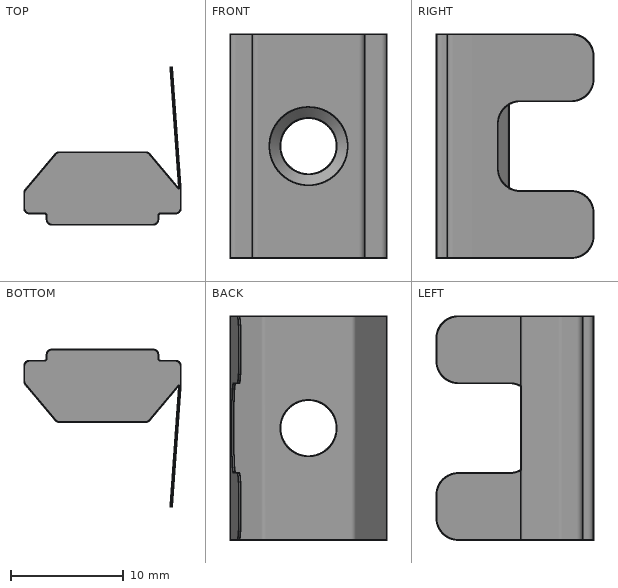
import cadquery as cq
import math

length = 20.0
half_width = 7.0
lip_half_width = 5.0
lip_height = 1.0
body_depth = 6.5
flank_start = 3.0
top_half_width = 4.05
edge_radius = 0.5
lip_root_radius = 0.15

hole_diameter = 5.0
countersink_diameter = 7.0
countersink_depth = (countersink_diameter - hole_diameter) / 2

leaf_thickness = 0.18
leaf_root = 3.2
leaf_tip = 14.05
leaf_lean = 4.1
leaf_overlap = 0.6
prong_width = 6.0
prong_radius = 2.0
slot_floor = 5.5

corner_tolerance = 0.002


def make_body():
    right_side = [
        (lip_half_width, 0),
        (lip_half_width, lip_height),
        (half_width, lip_height),
        (half_width, flank_start),
        (top_half_width, body_depth),
    ]
    left_side = [(-x, y) for x, y in reversed(right_side)]
    body = cq.Workplane("XY").polyline(right_side + left_side).close().extrude(length)

    def edges_at(points):
        def is_chosen(edge):
            center = (edge.Center().x, edge.Center().y)
            return any(math.dist(center, point) < corner_tolerance for point in points)

        return body.edges("|Z").filter(is_chosen).vals()

    lip_roots = [(side * lip_half_width, lip_height) for side in (-1, 1)]
    leaf_corner = (half_width, flank_start)
    rounded = [p for p in right_side + left_side if p not in lip_roots and p != leaf_corner]
    body = body.newObject(edges_at(lip_roots)).fillet(lip_root_radius)
    return body.newObject(edges_at(rounded)).fillet(edge_radius)


def make_hole():
    hole_radius = hole_diameter / 2
    profile = [
        (0, 0),
        (countersink_diameter / 2, 0),
        (hole_radius, countersink_depth),
        (hole_radius, body_depth),
        (0, body_depth),
    ]
    hole = cq.Workplane("XY").polyline(profile).close().revolve(360, (0, 0), (0, 1))
    return hole.translate((0, 0, length / 2))


def make_leaf():
    slope = math.tan(math.radians(leaf_lean))
    thickness_in_x = leaf_thickness / math.cos(math.radians(leaf_lean))
    tip_x = half_width - (leaf_tip - leaf_root) * slope
    inner_tip_x = tip_x - leaf_thickness * math.cos(math.radians(leaf_lean))
    inner_tip_y = leaf_tip - leaf_thickness * math.sin(math.radians(leaf_lean))
    buried_y = leaf_root - leaf_overlap
    section = [
        (half_width, buried_y),
        (half_width, leaf_root),
        (tip_x, leaf_tip),
        (inner_tip_x, inner_tip_y),
        (half_width - thickness_in_x, leaf_root),
        (half_width - thickness_in_x, buried_y),
    ]
    leaf = cq.Workplane("XY").polyline(section).close().extrude(length)
    return leaf.intersect(make_prong_outline())


def make_prong_outline():
    """Block through X whose YZ outline is two prongs with rounded corners."""
    base_y = leaf_root - leaf_overlap

    def block(y_start, y_end, z_start, z_end):
        return cq.Workplane("XY").box(
            2 * half_width, y_end - y_start, z_end - z_start, centered=False
        ).translate((0, y_start, z_start))

    outline = block(base_y, leaf_tip, 0, length)
    slot = block(slot_floor, leaf_tip, prong_width, length - prong_width)
    slot = slot.edges("|X and <Y").fillet(prong_radius)
    outline = outline.cut(slot)
    return outline.faces(">Y").edges("|X").fillet(prong_radius)


result = make_body().cut(make_hole()).union(make_leaf())